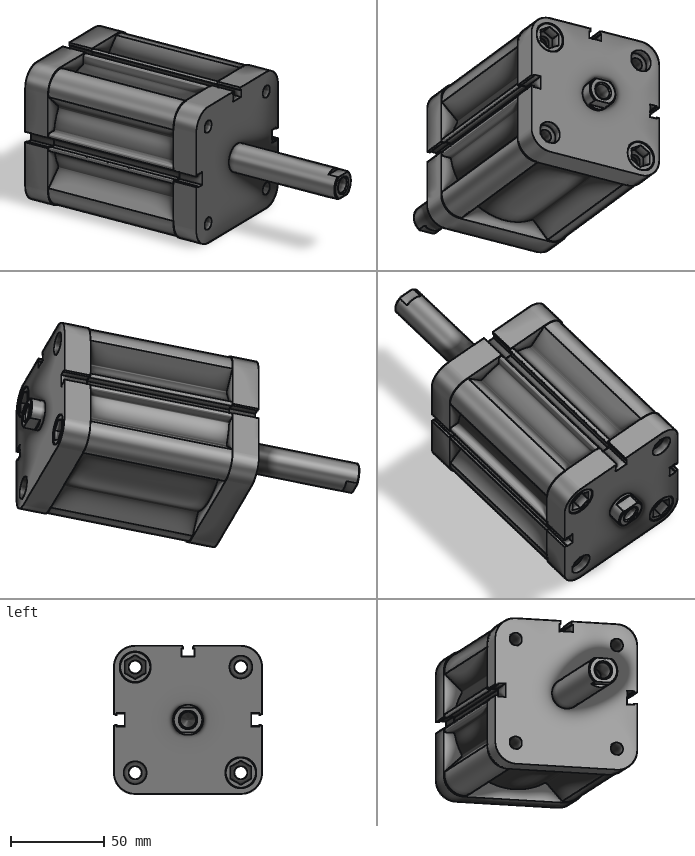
import cadquery as cq
import math

rod_length = 186.0
rod_overhang = 8.0
cap_thickness = 14.7
barrel_length = 80.5
housing_length = barrel_length + 2 * cap_thickness

cap_size = 79.5
corner_pitch = 56.5
cap_corner_radius = (cap_size - corner_pitch) / 2

barrel_size = 78.3
tube_radius = 34.0
column_radius = (barrel_size - corner_pitch) / 2
column_crease_offset = 26.6
column_root_offset = 17.5
column_root_fillet = 1.1

slot_lip = 1.7
cap_slot_opening = 6.1
cap_slot_width = 7.5
cap_slot_depth = 5.8
barrel_slot_opening = 5.2
barrel_slot_width = 6.5
barrel_slot_depth = 6.1
rib_width = 10.5
rib_edge_fillet = 1.1
rib_root_fillet = 0.7
lip_edge_fillet = 0.5
quarter_turns = (0, 90, 180, 270)
slot_turns = (-90, 0, 90)

through_bore = 6.9
counterbore = 12.3
counterbore_depth = 4.6
plug_diameter = 16.0
plug_clearance = 0.4
plug_recess = 0.4
plug_length = 9.3
plug_seat_depth = plug_recess + plug_length
hex_across_flats = 11.2
hex_depth = 6.5
half_pitch = corner_pitch / 2
plug_corners = ((half_pitch, half_pitch), (-half_pitch, -half_pitch))
open_corners = ((half_pitch, -half_pitch), (-half_pitch, half_pitch))

rod_diameter = 16.2
rod_chamfer = 0.5
flat_width = 13.0
flat_length = 6.3
socket_mouth = 10.0
socket_bore = 8.5
socket_depth = 18.6
drill_point_angle = 118.0


def section(x):
    """Workplane across the axis: local x is Y, local y is Z, extrusion runs toward +X."""
    return cq.Workplane("YZ", origin=(x, 0, 0))


def turned(body, angle):
    return body.rotate((0, 0, 0), (1, 0, 0), angle)


def make_slot(x, length, opening, width, depth):
    """T-shaped slot cutter for the top side, its depth measured from the flat of the caps."""
    top = cap_size / 2
    mouth = section(x).center(0, top - depth / 2).rect(opening, depth).extrude(length)
    cavity_middle = top - (slot_lip + depth) / 2
    cavity = section(x).center(0, cavity_middle).rect(width, depth - slot_lip).extrude(length)
    return mouth.union(cavity)


def make_cap(x):
    cap = section(x).rect(cap_size, cap_size).extrude(cap_thickness)
    cap = cap.edges("|X").fillet(cap_corner_radius)
    slot = make_slot(x, cap_thickness, cap_slot_opening, cap_slot_width, cap_slot_depth)
    for angle in slot_turns:
        cap = cap.cut(turned(slot, angle))
    return cap


def make_column():
    """Corner column: a round outer side and two flats that run in to the tube."""
    crease_depth = half_pitch + math.sqrt(column_radius**2 - (half_pitch - column_crease_offset) ** 2)
    root_depth = math.sqrt(tube_radius**2 - column_root_offset**2)
    arc_middle = half_pitch + column_radius / math.sqrt(2)
    return (
        section(cap_thickness)
        .moveTo(column_crease_offset, crease_depth)
        .threePointArc((arc_middle, arc_middle), (crease_depth, column_crease_offset))
        .lineTo(root_depth, column_root_offset)
        .lineTo(0, 0)
        .lineTo(column_root_offset, root_depth)
        .close()
        .extrude(barrel_length)
    )


def make_rib():
    height = barrel_size / 2
    rib = section(cap_thickness).center(0, height / 2).rect(rib_width, height).extrude(barrel_length)
    return rib.faces(">Z").edges("|X").fillet(rib_edge_fillet)


def fillet_long_edge(barrel, y, z, radius):
    """Fillet the lengthwise edge that runs through (y, z)."""
    middle_x = cap_thickness + barrel_length / 2
    edge = cq.selectors.NearestToPointSelector((middle_x, y, z))
    return barrel.edges("|X").edges(edge).fillet(radius)


def make_barrel():
    barrel = section(cap_thickness).circle(tube_radius).extrude(barrel_length)
    column = make_column()
    root_depth = math.sqrt(tube_radius**2 - column_root_offset**2)
    for angle in quarter_turns:
        barrel = barrel.union(turned(column, angle))
    for _ in quarter_turns:
        for side in (-1, 1):
            barrel = fillet_long_edge(barrel, side * column_root_offset, root_depth, column_root_fillet)
        barrel = turned(barrel, 90)

    slot = make_slot(
        cap_thickness,
        barrel_length,
        barrel_slot_opening,
        barrel_slot_width,
        barrel_slot_depth,
    )
    rib = make_rib()
    rib_root_depth = math.sqrt(tube_radius**2 - (rib_width / 2) ** 2)
    lip_offset = barrel_slot_opening / 2
    for angle in slot_turns:
        barrel = turned(barrel, -angle).union(rib).cut(slot)
        for side in (-1, 1):
            barrel = fillet_long_edge(barrel, side * rib_width / 2, rib_root_depth, rib_root_fillet)
            barrel = fillet_long_edge(barrel, side * lip_offset, barrel_size / 2, lip_edge_fillet)
        barrel = turned(barrel, angle)
    return barrel


def make_housing():
    housing = make_barrel()
    for x in (0, cap_thickness + barrel_length):
        housing = housing.union(make_cap(x))

    plug_seat = plug_diameter + 2 * plug_clearance
    cutters = (
        section(0).circle(rod_diameter / 2).extrude(housing_length),
        section(0).pushPoints(plug_corners + open_corners).circle(through_bore / 2).extrude(housing_length),
        section(0).pushPoints(open_corners).circle(counterbore / 2).extrude(counterbore_depth),
        section(0).pushPoints(plug_corners).circle(plug_seat / 2).extrude(plug_seat_depth),
    )
    for cutter in cutters:
        housing = housing.cut(cutter)
    return housing


def make_plug(corner):
    """Hollow plug set just below the face of the rear cap, with a hexagon socket in its outer face."""
    y, z = corner
    hex_across_corners = hex_across_flats / math.cos(math.radians(30))
    ring = section(plug_recess).center(y, z).circle(plug_diameter / 2).circle(through_bore / 2)
    plug = ring.extrude(plug_length)
    hex_socket = section(plug_recess).polygon(6, hex_across_corners).extrude(hex_depth)
    hex_socket = turned(hex_socket, 90).translate((0, y, z))
    return plug.cut(hex_socket)


def make_rod_socket():
    """Countersunk blind hole with a drill point, opening at the rear end of the rod."""
    mouth_radius = socket_mouth / 2
    bore_radius = socket_bore / 2
    mouth_depth = mouth_radius - bore_radius
    point_depth = bore_radius / math.tan(math.radians(drill_point_angle / 2))
    return (
        cq.Workplane("XY")
        .polyline([
            (0, 0),
            (0, mouth_radius),
            (mouth_depth, bore_radius),
            (socket_depth, bore_radius),
            (socket_depth + point_depth, 0),
        ])
        .close()
        .revolve(360, (0, 0, 0), (1, 0, 0))
    )


def make_rod():
    rod = section(0).circle(rod_diameter / 2).extrude(rod_length)
    rod = rod.faces("<X or >X").chamfer(rod_chamfer)

    flat_cut = section(0).rect(rod_diameter, rod_diameter).rect(rod_diameter, flat_width).extrude(flat_length)
    socket = make_rod_socket()
    for end_cut in (flat_cut, socket):
        far_end_cut = end_cut.mirror("YZ").translate((rod_length, 0, 0))
        rod = rod.cut(end_cut).cut(far_end_cut)
    return rod.translate((-rod_overhang, 0, 0))


housing = make_housing()
rod = make_rod()
plugs = [make_plug(corner) for corner in plug_corners]

result = cq.Compound.makeCompound([housing.val(), rod.val(), *[plug.val() for plug in plugs]])